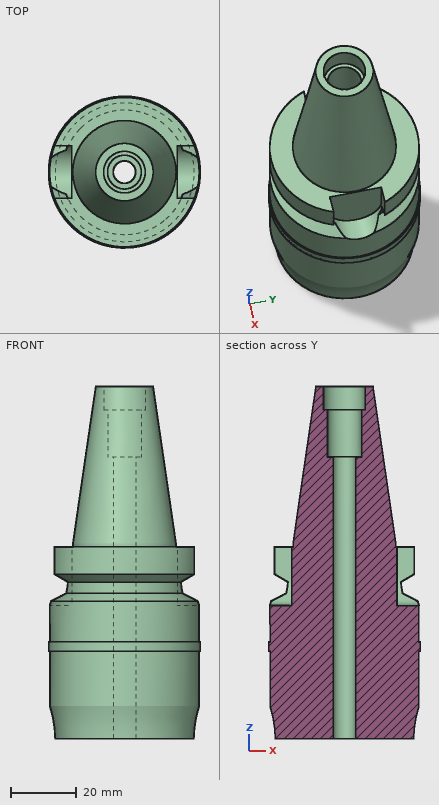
import cadquery as cq

total_height = 108.4
nose_top = 10.1
ring_bottom = 26.9
ring_top = 29.8
body_top = 42.4
groove_bottom = 44.8
groove_top = 48.2
flange_bottom = 50.6
flange_top = 59.1
taper_start = 60.0

body_radius = 23.0
ring_overhang = 0.38
ring_radius = body_radius + ring_overhang
nose_radius = 21.4
nose_middle_radius = 21.8
groove_radius = 19.2
taper_large_radius = 31.8 / 2
taper_small_radius = 17.7 / 2

bore_radius = 6.4
bore_depth = 7.2
thread_radius = 5.2
thread_depth = 21.7
through_radius = 6.8 / 2

slot_width = 16.2
slot_floor_x = 32.4 / 2
slot_bottom = 41.1


def make_body():
    """Revolve the outer half profile about Z."""
    profile = (
        cq.Workplane("XZ")
        .lineTo(nose_radius, 0)
        .threePointArc((nose_middle_radius, nose_top / 2), (body_radius, nose_top))
        .lineTo(body_radius, ring_bottom)
        .lineTo(ring_radius, ring_bottom)
        .lineTo(ring_radius, ring_top)
        .lineTo(body_radius, ring_top)
        .lineTo(body_radius, body_top)
        .lineTo(groove_radius, groove_bottom)
        .lineTo(groove_radius, groove_top)
        .lineTo(body_radius, flange_bottom)
        .lineTo(body_radius, flange_top)
        .lineTo(taper_large_radius, flange_top)
        .lineTo(taper_large_radius, taper_start)
        .lineTo(taper_small_radius, total_height)
        .lineTo(0, total_height)
        .close()
    )
    return profile.revolve(360, (0, 0, 0), (0, 1, 0))


def make_bore():
    """Two blind steps from the top and a smaller hole through the whole length."""
    top = cq.Workplane("XY").workplane(offset=total_height)
    bore = top.circle(bore_radius).extrude(-bore_depth)
    thread = top.circle(thread_radius).extrude(-thread_depth)
    through = top.circle(through_radius).extrude(-total_height)
    return bore.union(thread).union(through)


def make_drive_slot(side):
    """Round-bottomed slot, open upward and outward; side is +1 or -1 along X."""
    half_width = slot_width / 2
    arc_center_z = slot_bottom + half_width
    outline = (
        cq.Workplane("YZ", origin=(side * slot_floor_x, 0, 0))
        .moveTo(-half_width, flange_top)
        .lineTo(-half_width, arc_center_z)
        .threePointArc((0, slot_bottom), (half_width, arc_center_z))
        .lineTo(half_width, flange_top)
        .close()
    )
    return outline.extrude(side * ring_radius)


result = make_body().cut(make_bore())
for slot_side in (-1, 1):
    result = result.cut(make_drive_slot(slot_side))